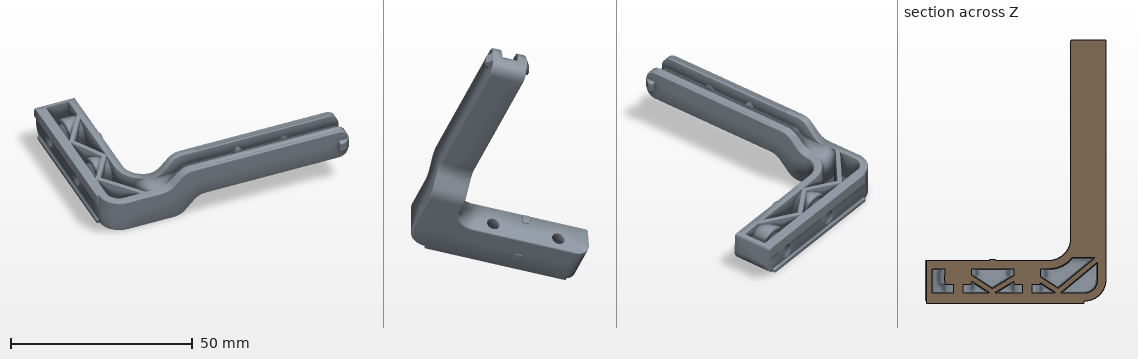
import cadquery as cq
import math

overall_y = 73.0
overall_right = 49.8
foot_height = 9.5
foot_front = 0.7
foot_back = 12.0
bend_radius = 6.0
arm_width = 9.85
arm_left = overall_right - arm_width
arm_center = overall_right - arm_width / 2
arm_bottom = 5.55
arm_height = 9.0
arm_top = arm_bottom + arm_height
arm_mid = arm_bottom + arm_height / 2
corner_center_x = overall_right - bend_radius
seam_y = foot_back + bend_radius
edge_fillet = 0.4

end_arc_radius = 3.7
end_draft = 0.35
end_top_radius = 0.8

upper_lip_bottom = 6.4
lower_lip_height = 1.25
lower_lip_slope = 0.3
lower_lip_start = 2.5
lip_root = 1.4

pocket_left = 1.75
pocket_front = 2.85
wall = 2.3
pocket_floor = 2.0
pocket_end_radius = 1.4
draft_angle = 4.0
rib_top_width = 1.2
rib_nodes = [(8.6, 9.8), (18.4, 3.4), (27.9, 9.1), (36.6, 3.4), (48.4, 13.2)]
hole_diameter = 3.6
hole_mouth_diameter = 4.1
hole_x = 9.0
hole_pitch = 19.0
hole_z = 3.7
large_boss_radius = 5.1
large_boss_front = 5.25
small_boss_radius = 3.75
boss_edge_radius = 0.45

bend_top_y = 24.25
bend_bottom_y = 28.15
top_bend_radius = 5.0
under_bend_radius = 4.4
arm_end_radius = 3.0

channel_width = 4.95
channel_floor = 11.3
step_floor = 9.5
step_y = 26.1
step_radius = 2.2
web_end_radius = 1.5
roll_y = 16.35
roll_radius = 4.1

groove_start = 30.5
groove_end = 71.4
groove_width = 1.2
groove_depth = 0.25

wedge_length = 3.3
wedges = [(42.6, 1.75, 1.7), (56.5, 0.95, 1.2)]
clip_reach = 1.35
clip_height = 3.1
clip_length = 3.05
clip_flat = 1.1
clip_draft_angle = 12.0
pad_x = 18.5
pad_width = 1.9
under_pad_y = 4.55
under_pad_length = 3.3
under_pad_depth = 0.2
back_pad_depth = 0.25
back_pad_bottom = 6.5
back_pad_top = 9.2

MARGIN = 5.0
DIAGONAL = math.sqrt(0.5)


def box(x0, x1, y0, y1, z0, z1):
    return cq.Workplane("XY").box(x1 - x0, y1 - y0, z1 - z0, centered=False).translate((x0, y0, z0))


def along_x(points, x0, x1):
    """Extrude a closed (y, z) outline from x0 to x1."""
    return cq.Workplane("YZ").workplane(offset=x0).polyline(points).close().extrude(x1 - x0)


def along_y(y_start, y_end, radius, x, z):
    """Cylinder parallel to Y."""
    length = y_end - y_start
    return cq.Workplane("XZ", origin=(x, y_start, z)).circle(radius).extrude(-length)


def edge_near(y, z):
    """Selector for the edges parallel to X closest to a (y, z) point."""
    return cq.selectors.NearestToPointSelector((arm_center, y, z))


def round_x_edges(body, corners):
    """Fillet edges parallel to X, given as (y, z, radius)."""
    for y, z, radius in corners:
        body = body.edges(edge_near(y, z)).fillet(radius)
    return body


def make_foot():
    """Solid foot with its inside and outside corner roundings and both front lips."""
    diagonal = bend_radius * DIAGONAL
    outer_y = foot_front + bend_radius
    inner_x = arm_left - bend_radius
    foot = (
        cq.Workplane("XY")
        .moveTo(-MARGIN, foot_front)
        .lineTo(corner_center_x, foot_front)
        .threePointArc((corner_center_x + diagonal, outer_y - diagonal), (overall_right, outer_y))
        .lineTo(overall_right, seam_y)
        .lineTo(arm_left, seam_y)
        .threePointArc((inner_x + diagonal, seam_y - diagonal), (inner_x, foot_back))
        .lineTo(-MARGIN, foot_back)
        .close()
        .extrude(foot_height)
    )
    flat_edges = foot.faces("<Z or >Z").edges()
    rounded = flat_edges.filter(lambda e: e.Center().y < seam_y - edge_fillet and e.Center().x > 0)
    foot = foot.newObject(rounded.vals()).fillet(edge_fillet)

    upper_lip = box(-MARGIN, corner_center_x, 0, lip_root, upper_lip_bottom, foot_height)
    lower_lip = along_x(
        [
            (0, 0),
            (lip_root, 0),
            (lip_root, lower_lip_height),
            (foot_front, lower_lip_height),
            (0, lower_lip_height - lower_lip_slope),
        ],
        lower_lip_start,
        corner_center_x,
    )
    return foot.union(upper_lip).union(lower_lip).intersect(make_end_envelope())


def make_end_envelope():
    """Side outline of the foot: round lower corner, leaning end face, rounded top edge."""
    arc_offset = end_arc_radius * (1 - DIAGONAL)
    top_offset = end_top_radius * (1 - DIAGONAL)
    return (
        cq.Workplane("XZ")
        .moveTo(overall_right, 0)
        .lineTo(end_arc_radius, 0)
        .threePointArc((arc_offset, arc_offset), (0, end_arc_radius))
        .lineTo(end_draft, foot_height - end_top_radius)
        .threePointArc(
            (end_draft + top_offset, foot_height - top_offset),
            (end_draft + end_top_radius, foot_height),
        )
        .lineTo(overall_right, foot_height)
        .close()
        .extrude(-seam_y)
    )


def make_arm():
    """Side outline of the S bend and the arm, sharp corners first, then rounded."""
    drop = arm_top - foot_height
    top_slope_end = bend_top_y - drop
    bottom_slope_end = bend_bottom_y - arm_bottom
    start_y = top_slope_end - top_bend_radius * math.tan(math.pi / 8)
    body_start = start_y - edge_fillet
    arm = along_x(
        [
            (body_start, 0),
            (bottom_slope_end, 0),
            (bend_bottom_y, arm_bottom),
            (overall_y, arm_bottom),
            (overall_y, arm_top),
            (bend_top_y, arm_top),
            (top_slope_end, foot_height),
            (body_start, foot_height),
        ],
        arm_left,
        overall_right,
    )
    arm = round_x_edges(
        arm,
        [
            (bottom_slope_end, 0, under_bend_radius),
            (bend_bottom_y, arm_bottom, under_bend_radius),
            (overall_y, arm_bottom, arm_end_radius),
            (overall_y, arm_top, arm_end_radius),
            (bend_top_y, arm_top, top_bend_radius),
            (top_slope_end, foot_height, top_bend_radius),
        ],
    )
    side_edges = arm.faces("<X or >X").edges()
    rounded = side_edges.filter(lambda e: e.Center().y > start_y - edge_fillet / 2)
    arm = arm.newObject(rounded.vals()).fillet(edge_fillet)
    return arm.intersect(box(arm_left, overall_right, start_y, overall_y, 0, arm_top))


def make_pocket():
    """Cavity of the foot, reaching under the start of the arm channel."""
    right = overall_right - wall
    round_radius = bend_radius - wall
    inner_radius = bend_radius + wall
    inner_x = arm_left - bend_radius
    back = foot_back - wall
    front_center_y = pocket_front + round_radius
    rise = math.asin((seam_y - roll_y) / inner_radius)
    mid = (math.pi / 2 + rise) / 2
    outline = (
        cq.Workplane("XY", origin=(0, 0, foot_height))
        .moveTo(pocket_left, pocket_front)
        .lineTo(right - round_radius, pocket_front)
        .threePointArc(
            (right - round_radius + DIAGONAL * round_radius, front_center_y - DIAGONAL * round_radius),
            (right, front_center_y),
        )
        .lineTo(right, roll_y)
        .lineTo(inner_x + inner_radius * math.cos(rise), roll_y)
        .threePointArc(
            (inner_x + inner_radius * math.cos(mid), seam_y - inner_radius * math.sin(mid)),
            (inner_x, back),
        )
        .lineTo(pocket_left, back)
        .close()
    )
    pocket = outline.extrude(-(foot_height - pocket_floor), taper=draft_angle)
    pocket = pocket.edges(
        cq.selectors.NearestToPointSelector((pocket_left, foot_back / 2, pocket_floor))
    ).fillet(pocket_end_radius)
    return pocket.cut(make_roll())


def make_roll():
    """Convex quarter round that carries the channel floor down into the pocket."""
    axis_z = step_floor - roll_radius
    front = roll_y - roll_radius
    offset = roll_radius * DIAGONAL
    return (
        cq.Workplane("YZ")
        .workplane(offset=arm_left - MARGIN)
        .moveTo(front, 0)
        .lineTo(front, axis_z)
        .threePointArc((roll_y - offset, axis_z + offset), (roll_y, step_floor))
        .lineTo(roll_y, 0)
        .close()
        .extrude(arm_width + MARGIN)
    )


def make_rib(start, end):
    """Upright rib between two points, thicker at the pocket floor."""
    height = foot_height - pocket_floor
    dx = end[0] - start[0]
    dy = end[1] - start[1]
    base_width = rib_top_width + 2 * height * math.tan(math.radians(draft_angle))
    return (
        cq.Workplane("XY")
        .rect(math.hypot(dx, dy) + base_width, base_width)
        .extrude(height, taper=draft_angle)
        .rotate((0, 0, 0), (0, 0, 1), math.degrees(math.atan2(dy, dx)))
        .translate(((start[0] + end[0]) / 2, (start[1] + end[1]) / 2, pocket_floor))
    )


def make_boss(x):
    """Stepped boss around a screw hole, cut off at the underside of the foot."""
    large = along_y(large_boss_front, foot_back - wall / 2, large_boss_radius, x, hole_z)
    large = large.faces("<Y").edges().fillet(boss_edge_radius)
    small = along_y(pocket_front - wall / 2, large_boss_front, small_boss_radius, x, hole_z)
    keep = box(0, overall_right, 0, foot_back, pocket_floor / 2, foot_height)
    return large.union(small).intersect(keep)


def make_hole(x):
    """Screw hole through the foot with a small chamfer at the front."""
    mouth_depth = (hole_mouth_diameter - hole_diameter) / 2
    through = along_y(-MARGIN, foot_back + MARGIN, hole_diameter / 2, x, hole_z)
    mouth = cq.Workplane(
        cq.Solid.makeCone(
            hole_mouth_diameter / 2,
            hole_diameter / 2,
            mouth_depth,
            cq.Vector(x, foot_front, hole_z),
            cq.Vector(0, 1, 0),
        )
    )
    return through.union(mouth)


def make_channel():
    """Channel with a stepped floor, a rounded floor end and leaning walls."""
    drop = channel_floor - step_floor
    left = arm_center - channel_width / 2
    bottom = channel_floor - web_end_radius
    top = arm_top + MARGIN
    channel = along_x(
        [
            (roll_y, step_floor),
            (step_y - drop, step_floor),
            (step_y, channel_floor),
            (overall_y, channel_floor),
            (overall_y, top),
            (roll_y, top),
        ],
        left,
        left + channel_width,
    )
    channel = round_x_edges(
        channel,
        [(step_y - drop, step_floor, step_radius), (step_y, channel_floor, step_radius)],
    )
    corner = box(left, left + channel_width, overall_y - web_end_radius, overall_y, bottom, channel_floor)
    rounding = (
        cq.Workplane("YZ", origin=(left, overall_y - web_end_radius, bottom))
        .circle(web_end_radius)
        .extrude(channel_width)
    )
    half_top = channel_width / 2
    half_bottom = half_top - (arm_top - step_floor) * math.tan(math.radians(draft_angle))
    section = (
        cq.Workplane("XZ", origin=(arm_center, roll_y, 0))
        .polyline(
            [
                (-half_bottom, step_floor),
                (half_bottom, step_floor),
                (half_top, arm_top),
                (half_top, top),
                (-half_top, top),
                (-half_top, arm_top),
            ]
        )
        .close()
        .extrude(roll_y - overall_y)
    )
    return channel.union(corner.cut(rounding)).intersect(section)


def make_groove(x):
    """Shallow hollow groove in a wall top, an arc in cross section."""
    radius = (groove_width ** 2 / 4 + groove_depth ** 2) / (2 * groove_depth)
    center_z = arm_top + radius - groove_depth
    return along_y(groove_start, groove_end, radius, x, center_z)


def make_wedge(y, reach, height, side):
    """Half pyramid on the channel floor whose tip lies on the wall; side is -1 or 1."""
    x_wall = arm_center + side * channel_width / 2
    lean = (arm_top - channel_floor) * math.tan(math.radians(draft_angle))
    x_toe = x_wall - side * (reach + lean)
    base = [
        cq.Vector(x_wall, y - wedge_length / 2, channel_floor),
        cq.Vector(x_toe, y - wedge_length / 2, channel_floor),
        cq.Vector(x_toe, y + wedge_length / 2, channel_floor),
        cq.Vector(x_wall, y + wedge_length / 2, channel_floor),
    ]
    tip = cq.Vector(x_wall, y, channel_floor + height)
    faces = [cq.Face.makeFromWires(cq.Wire.makePolygon(base, close=True))]
    for i, corner in enumerate(base):
        triangle = [corner, base[(i + 1) % len(base)], tip]
        faces.append(cq.Face.makeFromWires(cq.Wire.makePolygon(triangle, close=True)))
    return cq.Workplane(cq.Solid.makeSolid(cq.Shell.makeShell(faces)))


def make_clip(side):
    """Catch on the outer side of the arm end, ramped toward the end; side is -1 or 1."""
    x_face = arm_center + side * arm_width / 2
    x_root = x_face - side * edge_fillet
    x_tip = x_face + side * clip_reach
    y_heel = overall_y - clip_length
    ramp = (
        cq.Workplane("XY", origin=(0, 0, arm_mid - clip_height))
        .polyline(
            [
                (x_root, y_heel),
                (x_tip, y_heel),
                (x_tip, y_heel + clip_flat),
                (x_face, overall_y),
                (x_root, overall_y),
            ]
        )
        .close()
        .extrude(2 * clip_height)
    )
    tapered = (
        cq.Workplane("YZ", origin=(x_root, overall_y, arm_mid))
        .rect(2 * overall_y, clip_height)
        .extrude(x_tip - x_root, taper=clip_draft_angle)
    )
    return ramp.intersect(tapered)


def make_pads():
    """Thin moulding pads under the foot and on its back face."""
    left = pad_x - pad_width / 2
    right = pad_x + pad_width / 2
    front = under_pad_y - under_pad_length / 2
    under = box(left, right, front, front + under_pad_length, -under_pad_depth, pocket_floor / 2)
    back = box(left, right, foot_back - wall / 2, foot_back + back_pad_depth, back_pad_bottom, back_pad_top)
    return under.add(back).combine()


hole_positions = [hole_x, hole_x + hole_pitch]

part = make_foot().union(make_arm()).cut(make_pocket())
for x in hole_positions:
    part = part.union(make_boss(x))
for start, end in zip(rib_nodes, rib_nodes[1:]):
    part = part.union(make_rib(start, end))
for x in hole_positions:
    part = part.cut(make_hole(x))

part = part.cut(make_channel())
wall_center_offset = (arm_width + channel_width) / 4
for side in (-1, 1):
    part = part.cut(make_groove(arm_center + side * wall_center_offset))
    part = part.union(make_clip(side))
    for y, reach, height in wedges:
        part = part.union(make_wedge(y, reach, height, side))

result = part.union(make_pads())